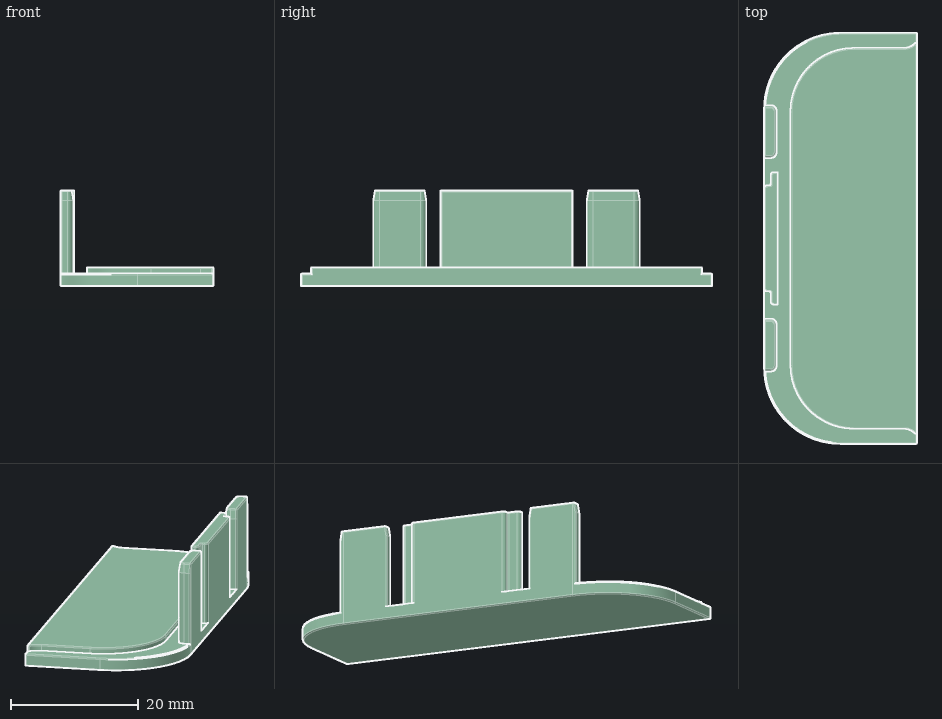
import cadquery as cq
import math

width = 24.0
length = 64.5
height = 15.0
plate_thickness = 2.0
plate_radius = 12.0
edge_round = 0.2

pad_height = plate_thickness / 2
pad_front = 4.1
pad_half = 29.85
pad_radius = 10.0
flare_length = 2.05
flare_rise = 1.15

tab_inner = 12.6
tab_outer = 20.9
tab_depth = 2.0
tab_corner = 0.95
lead_in_height = 1.55
lead_in_inset = 0.25

flange_half = 10.4
flange_front = 1.0
flange_back = 2.2
block_half = 8.3
tongue_corner = 0.5
inner_corner = 0.2


def plate_outline(thickness):
    """Plate-shaped prism with sharp top and bottom edges."""
    return (
        cq.Workplane("XY")
        .box(width, length, thickness, centered=(False, True, False))
        .edges("|Z and <X")
        .fillet(plate_radius)
    )


def pad():
    """Raised pad whose sides flare outward where they meet the +X edge."""
    flare_start = width - flare_length
    flare_half = pad_half + flare_rise
    corner_end = pad_front + pad_radius
    corner_half = pad_half - pad_radius
    flare_radius = (flare_length**2 + flare_rise**2) / (2 * flare_rise)
    half_diagonal = pad_radius * math.sqrt(0.5)
    corner_mid = (corner_end - half_diagonal, corner_half + half_diagonal)
    body = (
        cq.Workplane("XY", origin=(0, 0, edge_round))
        .moveTo(width, -flare_half)
        .lineTo(width, flare_half)
        .radiusArc((flare_start, pad_half), flare_radius)
        .lineTo(corner_end, pad_half)
        .threePointArc(corner_mid, (pad_front, corner_half))
        .lineTo(pad_front, -corner_half)
        .threePointArc((corner_mid[0], -corner_mid[1]), (corner_end, -pad_half))
        .lineTo(flare_start, -pad_half)
        .radiusArc((width, -flare_half), flare_radius)
        .close()
        .extrude(plate_thickness + pad_height - edge_round)
    )
    return body.edges("(|Z and >X) or >Z").fillet(edge_round)


def tab():
    """Tab on the +Y side with rounded rear corners and a tapered lead-in at its top."""
    tab_width = tab_outer - tab_inner
    tab_middle = (tab_outer + tab_inner) / 2
    lead_in_base = height - lead_in_height
    taper = math.degrees(math.atan(lead_in_inset / lead_in_height))

    def section(bottom, rise, angle):
        profile = cq.Sketch().rect(2 * tab_depth, tab_width).vertices().fillet(tab_corner)
        return (
            cq.Workplane("XY", origin=(0, tab_middle, bottom))
            .placeSketch(profile)
            .extrude(rise, taper=angle)
        )

    shaft = section(edge_round, lead_in_base - edge_round, 0)
    body = shaft.union(section(lead_in_base, lead_in_height, taper))
    body = body.intersect(plate_outline(height))
    front_zone = cq.selectors.BoxSelector(
        (-edge_round, 0, plate_thickness), (edge_round, length, height - edge_round)
    )
    front_edges = body.edges(front_zone).edges("not |Y")
    top_edges = body.faces(">Z").edges()
    return front_edges.add(top_edges).fillet(edge_round)


def tongue():
    """Middle tongue: T-shaped in plan, standing on the plate."""
    rise = height - edge_round
    flange = (
        cq.Workplane("XY", origin=(flange_front, 0, edge_round))
        .box(flange_back - flange_front, 2 * flange_half, rise, centered=(False, True, False))
        .edges("|Z and <X")
        .fillet(tongue_corner)
        .edges("|Z and >X")
        .fillet(edge_round)
    )
    block = (
        cq.Workplane("XY", origin=(0, 0, edge_round))
        .box(flange_back, 2 * block_half, rise, centered=(False, True, False))
        .edges("|Z and <X")
        .fillet(tongue_corner)
    )
    inner_edges = cq.selectors.BoxSelector(
        (flange_front - edge_round, -block_half - edge_round, 0),
        (flange_front + edge_round, block_half + edge_round, height),
    )
    body = flange.union(block).edges(inner_edges).edges("|Z").fillet(inner_corner)
    return body.faces(">Z").edges().fillet(edge_round)


def sill():
    """Square front edge of the plate between the middles of the two tabs."""
    return cq.Workplane("XY", origin=(0, 0, edge_round)).box(
        flange_back, tab_outer + tab_inner, plate_thickness - edge_round, centered=(False, True, False)
    )


plate = plate_outline(plate_thickness).edges().fillet(edge_round)
side_tab = tab()
result = plate.union(pad()).union(sill()).union(tongue()).union(side_tab).union(side_tab.mirror("XZ"))